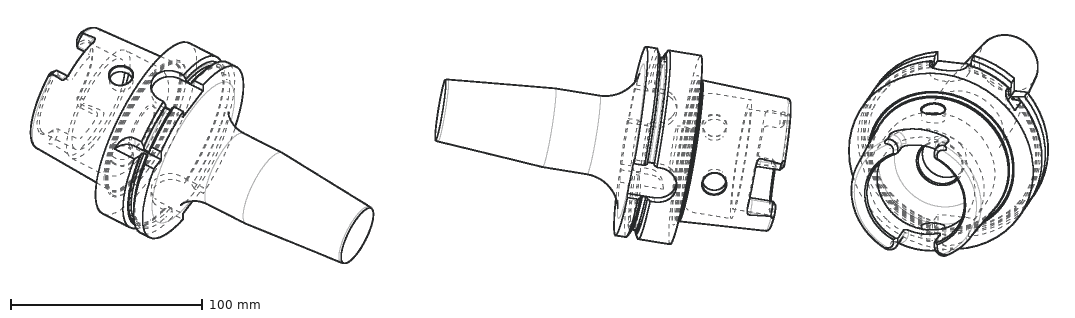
import cadquery as cq
import math

length = 180.0
flange_x = 50.0
flange_width = 29.0
flange_end_x = flange_x + flange_width
flange_radius = 50.0

taper_end_x = 47.3
taper_end_radius = 37.5
taper_slope = 0.05
taper_tip_radius = taper_end_radius - taper_slope * taper_end_x
tip_rounding = 2.0

relief_step = 0.5
relief_radius = taper_end_radius - 0.4
corner_rounding = 1.5
recess_mouth_radius = 39.6

groove_x = flange_x + 20.2
groove_mouth_half = 3.2
groove_floor_half = 1.8
groove_floor_radius = 45.7
groove_rounding = 0.9
groove_flank_angle = 60.0

neck_fillet = 20.0
neck_radius = 20.9
nose_taper_x = 122.5
nose_angle = 4.5
nose_chamfer_length = 1.3
nose_chamfer_height = 0.4

bore_mouth_radius = 27.4
bore_radius = 26.5
chamber_x = 20.7
chamber_radius = 31.5
chamber_depth = 47.3
chamber_floor_rounding = 6.8
pilot_mouth_radius = 12.6
pilot_radius = 11.9
pilot_depth = 9.0

cross_hole_x = 34.7
cross_hole_radius = 6.1
cross_hole_chamfer = 0.4

slot_half_width = 9.9
slot_shoulder_z = 31.7
slot_flank_radius = 5.0
slot_mouth_chamfer = 2.0
slot_floor_rounding = 2.0
upper_slot_depth = 10.0
lower_slot_depth = 15.0

keyway_half_width = 9.9
keyway_start_x = 54.9
keyway_floor_z = 44.0
notch_corner = 31.7
notch_straight_x = 63.0
notch_cutter_radius = 8.1

arc_inset = 1 - math.sqrt(0.5)


def revolve_about_x(outline):
    """Turn a closed XY outline round the X axis."""
    return outline.revolve(360, (0, 0, 0), (1, 0, 0))


def make_body():
    """Solid outer shape, from the tip of the shank to the end of the nose."""
    relief_x = taper_end_x + relief_step
    relief_end_x = relief_x + relief_step
    corner_x = relief_end_x + relief_step
    recess_x = corner_x + corner_rounding
    recess_radius = taper_end_radius + corner_rounding
    corner_inset = corner_rounding * arc_inset

    flank_height = (groove_mouth_half - groove_floor_half) * math.tan(math.radians(groove_flank_angle))
    groove_flank_radius = flange_radius - flank_height
    groove_left = groove_x - groove_floor_half
    groove_right = groove_x + groove_floor_half
    groove_inset = groove_rounding * arc_inset

    neck_x = flange_end_x + neck_fillet
    neck_inset = neck_fillet * arc_inset
    nose_end_x = length - nose_chamfer_length
    nose_radius = neck_radius - (nose_end_x - nose_taper_x) * math.tan(math.radians(nose_angle))

    outline = (
        cq.Workplane("XY")
        .lineTo(0, taper_tip_radius)
        .lineTo(taper_end_x, taper_end_radius)
        .lineTo(relief_x, relief_radius)
        .lineTo(relief_end_x, relief_radius)
        .lineTo(corner_x, taper_end_radius)
        .threePointArc(
            (recess_x - corner_inset, taper_end_radius + corner_inset),
            (recess_x, recess_radius),
        )
        .lineTo(flange_x, recess_mouth_radius)
        .lineTo(flange_x, flange_radius)
        .lineTo(groove_x - groove_mouth_half, flange_radius)
        .lineTo(groove_left, groove_flank_radius)
        .lineTo(groove_left, groove_floor_radius + groove_rounding)
        .threePointArc(
            (groove_left + groove_inset, groove_floor_radius + groove_inset),
            (groove_left + groove_rounding, groove_floor_radius),
        )
        .lineTo(groove_right - groove_rounding, groove_floor_radius)
        .threePointArc(
            (groove_right - groove_inset, groove_floor_radius + groove_inset),
            (groove_right, groove_floor_radius + groove_rounding),
        )
        .lineTo(groove_right, groove_flank_radius)
        .lineTo(groove_x + groove_mouth_half, flange_radius)
        .lineTo(flange_end_x, flange_radius)
        .lineTo(flange_end_x, neck_radius + neck_fillet)
        .threePointArc(
            (flange_end_x + neck_inset, neck_radius + neck_inset),
            (neck_x, neck_radius),
        )
        .lineTo(nose_taper_x, neck_radius)
        .lineTo(nose_end_x, nose_radius)
        .lineTo(length, nose_radius - nose_chamfer_height)
        .lineTo(length, 0)
        .close()
    )
    return revolve_about_x(outline).faces("<X").edges().fillet(tip_rounding)


def make_bore():
    """Bore with a chamfered mouth, a clamping chamber and a pilot hole."""
    mouth_chamfer = bore_mouth_radius - bore_radius
    pilot_chamfer = pilot_mouth_radius - pilot_radius
    pilot_end_x = chamber_depth + pilot_depth
    floor_inset = chamber_floor_rounding * arc_inset
    outline = (
        cq.Workplane("XY")
        .lineTo(0, bore_mouth_radius)
        .lineTo(mouth_chamfer, bore_radius)
        .lineTo(chamber_x, bore_radius)
        .lineTo(chamber_x, chamber_radius)
        .lineTo(chamber_depth - chamber_floor_rounding, chamber_radius)
        .threePointArc(
            (chamber_depth - floor_inset, chamber_radius - floor_inset),
            (chamber_depth, chamber_radius - chamber_floor_rounding),
        )
        .lineTo(chamber_depth, pilot_mouth_radius)
        .lineTo(chamber_depth + pilot_chamfer, pilot_radius)
        .lineTo(pilot_end_x, pilot_radius)
        .lineTo(pilot_end_x, 0)
        .close()
    )
    return revolve_about_x(outline)


def slot_section(widening):
    """Driver slot section, open to +Z, its walls curving out into flat shoulders."""
    half_width = slot_half_width + widening
    shoulder_z = slot_shoulder_z - widening
    flank_radius = slot_flank_radius - widening
    flank_half = half_width + flank_radius
    flank_z = shoulder_z - flank_radius
    inset = flank_radius * arc_inset
    side = taper_end_radius + widening
    top_z = flange_radius + widening
    return (
        cq.Workplane("YZ")
        .moveTo(-half_width, -widening)
        .lineTo(half_width, -widening)
        .lineTo(half_width, flank_z)
        .threePointArc((half_width + inset, shoulder_z - inset), (flank_half, shoulder_z))
        .lineTo(side, shoulder_z)
        .lineTo(side, top_z)
        .lineTo(-side, top_z)
        .lineTo(-side, shoulder_z)
        .lineTo(-flank_half, shoulder_z)
        .threePointArc((-half_width - inset, shoulder_z - inset), (-half_width, flank_z))
        .close()
    )


def make_driver_slot(depth):
    """Driver slot with a chamfered mouth and a rounded floor."""
    slot = slot_section(0).extrude(depth).faces(">X").edges().fillet(slot_floor_rounding)
    mouth = slot_section(slot_mouth_chamfer).extrude(slot_mouth_chamfer, taper=45)
    return slot.union(mouth)


def make_keyway():
    """Round-ended keyway open to the nose side of the flange."""
    centre_x = keyway_start_x + keyway_half_width
    return (
        cq.Workplane("XY", origin=(0, 0, keyway_floor_z))
        .moveTo(flange_end_x, keyway_half_width)
        .lineTo(centre_x, keyway_half_width)
        .threePointArc((keyway_start_x, 0), (centre_x, -keyway_half_width))
        .lineTo(flange_end_x, -keyway_half_width)
        .close()
        .extrude(flange_radius - keyway_floor_z)
    )


def make_notch():
    """Square corner notch on the -Y +Z side, with a round run-out."""
    outer_y = -notch_corner - notch_cutter_radius
    inset = notch_cutter_radius * arc_inset
    end_x = notch_straight_x - notch_cutter_radius
    return (
        cq.Workplane("XY", origin=(0, 0, notch_corner))
        .moveTo(flange_end_x, -notch_corner)
        .lineTo(notch_straight_x, -notch_corner)
        .threePointArc((end_x + inset, -notch_corner - inset), (end_x, outer_y))
        .lineTo(flange_end_x, outer_y)
        .close()
        .extrude(flange_radius - notch_corner)
    )


def drill_cross_hole(body):
    """Drill the shank along Z and chamfer both rims of the hole."""
    drill = (
        cq.Workplane("XY", origin=(cross_hole_x, 0, 0))
        .circle(cross_hole_radius)
        .extrude(flange_radius, both=True)
    )
    reach = cross_hole_radius + cross_hole_chamfer
    rims = cq.selectors.BoxSelector(
        (cross_hole_x - reach, -reach, -flange_radius),
        (cross_hole_x + reach, reach, flange_radius),
    )
    return body.cut(drill).edges(rims).edges("not %LINE").chamfer(cross_hole_chamfer)


upper_slot = make_driver_slot(upper_slot_depth)
lower_slot = make_driver_slot(lower_slot_depth).mirror("XY")
keyway = make_keyway()

result = drill_cross_hole(make_body())
result = result.cut(upper_slot).cut(lower_slot).cut(make_bore())
result = result.cut(keyway).cut(keyway.mirror("XY")).cut(make_notch())